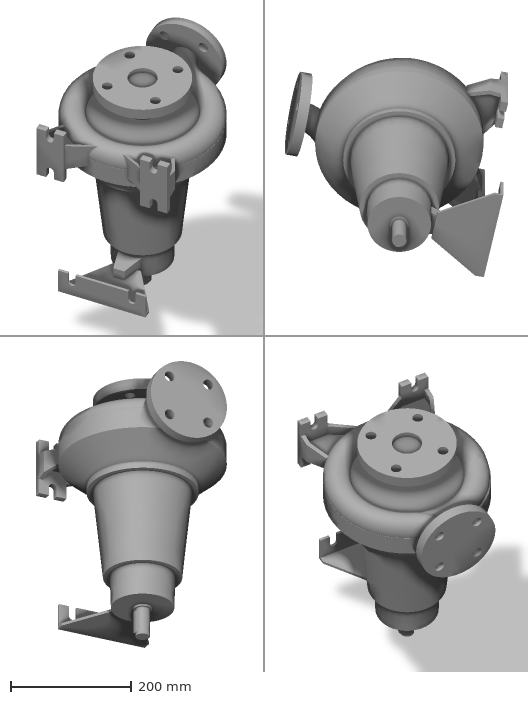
import cadquery as cq
import math


TOTAL_HEIGHT = 440.0
VOLUTE_Z = 360.0
COVER_APEX_Z = 375.8
COVER_RIM_Z = 364.5
CASING_TOP_Z = 355.5
CASING_BOTTOM_Z = 320.0
COLLAR_TOP_Z = 280.0
COLLAR_BOTTOM_Z = 268.0
FRAME_BOTTOM_Z = 110.0
HOUSING_BOTTOM_Z = 53.5
SHOULDER_BOTTOM_Z = 50.0

CASING_RADIUS = 140.0
COLLAR_RADIUS = 93.5
FRAME_TOP_RADIUS = 82.5
FRAME_BOTTOM_RADIUS = 66.0
HOUSING_TOP_RADIUS = 54.5
HOUSING_BOTTOM_RADIUS = 53.0
SHOULDER_RADIUS = 15.5
SHAFT_RADIUS = 12.0
NECK_RADIUS = 32.5

TUBE_RADIUS = 23.5
VOLUTE_RADIUS = CASING_RADIUS - TUBE_RADIUS
TONGUE_TUBE_RADIUS = 19.5
TONGUE_SECTIONS = 5
DISCHARGE_FACE_Y = 180.0

SUCTION_FLANGE_RADIUS = 82.5
SUCTION_FLANGE_THICKNESS = 20.0
SUCTION_BOLT_CIRCLE_RADIUS = 62.5
SUCTION_BORE_RADIUS = 25.0
SUCTION_BORE_DEPTH = 10.0
DISCHARGE_FLANGE_RADIUS = 70.0
DISCHARGE_FLANGE_THICKNESS = 18.0
DISCHARGE_BOLT_CIRCLE_RADIUS = 50.0
BOLT_HOLE_DIAMETER = 18.0
BOLT_COUNT = 4

MOUNTING_FACE_Y = -160.0
SLOT_WIDTH = 14.0
FOOT_HEIGHT = 100.0
FOOT_INNER_X = 70.0
FOOT_OUTER_X = 120.0
FOOT_THICKNESS = 12.0
FOOT_SLOT_DEPTH = 22.0
RIB_THICKNESS = 7.5
OUTER_RIB_BEND_Y = -130.0
OUTER_RIB_TIP = (103.5, -93.0)
INNER_RIB_TIP_X = 32.0
INNER_RIB_TIP_Y = -127.0
INNER_RIB_TIP_WIDTH = 10.0
INNER_RIB_OVERLAP = 7.0
RIB_FACE_HALF_HEIGHT = 26.0
RIB_TAPER = 0.2
WEB_THICKNESS = 7.5

BRACKET_BOTTOM_Z = 70.0
BRACKET_HEIGHT = 45.0
BRACKET_WIDTH = 160.0
BRACKET_SHEET = 5.0
BRACKET_SLOT_X = 55.0
BRACKET_SLOT_DEPTH = 24.0
SHELF_REAR_Y = -60.0
SHELF_REAR_WIDTH = 50.0
SHELF_BEND_Y = -145.0
BLOCK_HEIGHT = 19.5
BLOCK_FRONT_Y = -93.5
BLOCK_FRONT_WIDTH = 20.2
BLOCK_REAR_Y = -40.0
BLOCK_REAR_WIDTH = 48.0

KEY_WIDTH = 8.0
KEY_BOTTOM_Z = 4.0
KEY_TOP_Z = 45.8
KEY_OUTER_X = 15.0


def turned_body():
    """Shaft, bearing housing, frame, casing, cover and suction neck as one revolved profile."""
    profile = [
        (0, 0),
        (SHAFT_RADIUS, 0),
        (SHAFT_RADIUS, SHOULDER_BOTTOM_Z),
        (SHOULDER_RADIUS, SHOULDER_BOTTOM_Z),
        (SHOULDER_RADIUS, HOUSING_BOTTOM_Z),
        (HOUSING_BOTTOM_RADIUS, HOUSING_BOTTOM_Z),
        (HOUSING_TOP_RADIUS, FRAME_BOTTOM_Z),
        (FRAME_BOTTOM_RADIUS, FRAME_BOTTOM_Z),
        (FRAME_TOP_RADIUS, COLLAR_BOTTOM_Z),
        (COLLAR_RADIUS, COLLAR_BOTTOM_Z),
        (COLLAR_RADIUS, COLLAR_TOP_Z),
        (CASING_RADIUS, CASING_BOTTOM_Z),
        (CASING_RADIUS, CASING_TOP_Z),
        (VOLUTE_RADIUS - TUBE_RADIUS / 2, CASING_TOP_Z),
        (VOLUTE_RADIUS - TUBE_RADIUS / 2, COVER_RIM_Z),
        (NECK_RADIUS, COVER_APEX_Z),
        (NECK_RADIUS, TOTAL_HEIGHT),
        (0, TOTAL_HEIGHT),
    ]
    return cq.Workplane("XZ").polyline(profile).close().revolve(360, (0, 0), (0, 1))


BEND_RADIUS = (DISCHARGE_FACE_Y**2 - VOLUTE_RADIUS**2) / (2 * VOLUTE_RADIUS)
BEND_ANGLE = math.atan2(DISCHARGE_FACE_Y, BEND_RADIUS)


def volute_tube():
    """Round tube around the casing, from -X through -Y and +X, then bending out to the discharge."""
    mid_angle = (BEND_ANGLE - math.pi) / 2
    mid_point = (VOLUTE_RADIUS * math.cos(mid_angle), VOLUTE_RADIUS * math.sin(mid_angle))
    bend_start = (VOLUTE_RADIUS * math.cos(BEND_ANGLE), VOLUTE_RADIUS * math.sin(BEND_ANGLE))
    path = (
        cq.Workplane("XY", origin=(0, 0, VOLUTE_Z))
        .moveTo(-VOLUTE_RADIUS, 0)
        .threePointArc(mid_point, bend_start)
        .tangentArcPoint((0, DISCHARGE_FACE_Y), relative=False)
    )
    section = cq.Workplane("XZ", origin=(-VOLUTE_RADIUS, 0, VOLUTE_Z)).circle(TUBE_RADIUS)
    return section.sweep(path)


def volute_tongue():
    """Start of the volute: the tube shrinks from -X towards the discharge, its inner side on one circle."""
    sections = []
    for i in range(TONGUE_SECTIONS):
        fraction = i / (TONGUE_SECTIONS - 1)
        angle = math.pi + fraction * (BEND_ANGLE - math.pi)
        radius = TUBE_RADIUS + fraction * (TONGUE_TUBE_RADIUS - TUBE_RADIUS)
        reach = VOLUTE_RADIUS - TUBE_RADIUS + radius
        center = cq.Vector(reach * math.cos(angle), reach * math.sin(angle), VOLUTE_Z)
        tangent = cq.Vector(math.sin(angle), -math.cos(angle), 0)
        sections.append(cq.Wire.makeCircle(radius, center, tangent))
    return cq.Workplane(cq.Solid.makeLoft(sections))


def flange(face, radius, thickness, bolt_circle_radius):
    """Flange disc behind the given face, with bolt holes midway between its main axes."""
    return (
        cq.Workplane(face)
        .circle(radius)
        .extrude(-thickness)
        .copyWorkplane(cq.Workplane(face))
        .polarArray(bolt_circle_radius, 180 / BOLT_COUNT, 360, BOLT_COUNT)
        .hole(BOLT_HOLE_DIAMETER, thickness)
    )


def edge_slot(x, edge_z, depth, plate_thickness, direction):
    """Slot cutter with a round end, open at the plate edge; direction is the way it runs in Z."""
    straight = depth - SLOT_WIDTH / 2
    half = SLOT_WIDTH / 2
    return (
        cq.Workplane("XZ", origin=(x, MOUNTING_FACE_Y, edge_z))
        .moveTo(-half, 0)
        .lineTo(-half, direction * straight)
        .threePointArc((0, direction * depth), (half, direction * straight))
        .lineTo(half, 0)
        .close()
        .extrude(-plate_thickness)
    )


def volute_level_slab(outline, height):
    """Slab with the given plan outline, centred in height on the volute."""
    return cq.Workplane("XY", origin=(0, 0, VOLUTE_Z)).polyline(outline).close().extrude(height / 2, both=True)


def foot():
    """Foot on the +X side: slotted plate, two ribs tapering to the casing and a flat web between."""
    back_y = MOUNTING_FACE_Y + FOOT_THICKNESS
    center_x = (FOOT_INNER_X + FOOT_OUTER_X) / 2
    plate = (
        cq.Workplane("XY", origin=(center_x, MOUNTING_FACE_Y + FOOT_THICKNESS / 2, VOLUTE_Z))
        .box(FOOT_OUTER_X - FOOT_INNER_X, FOOT_THICKNESS, FOOT_HEIGHT)
    )
    for direction in (1, -1):
        edge_z = VOLUTE_Z - direction * FOOT_HEIGHT / 2
        plate = plate.cut(edge_slot(center_x, edge_z, FOOT_SLOT_DEPTH, FOOT_THICKNESS, direction))

    tip_x, tip_y = OUTER_RIB_TIP
    outer_rib = [
        (FOOT_OUTER_X, back_y),
        (FOOT_OUTER_X, OUTER_RIB_BEND_Y),
        (tip_x, tip_y),
        (tip_x - RIB_THICKNESS, tip_y),
        (FOOT_OUTER_X - RIB_THICKNESS, OUTER_RIB_BEND_Y),
        (FOOT_OUTER_X - RIB_THICKNESS, back_y),
    ]
    inner_rib = [
        (FOOT_INNER_X, back_y),
        (INNER_RIB_TIP_X, INNER_RIB_TIP_Y),
        (INNER_RIB_TIP_X - INNER_RIB_TIP_WIDTH, INNER_RIB_TIP_Y),
        (FOOT_INNER_X, back_y - INNER_RIB_OVERLAP),
    ]
    tip_half_height = RIB_FACE_HALF_HEIGHT - RIB_TAPER * (tip_y - MOUNTING_FACE_Y)
    taper_outline = [
        (MOUNTING_FACE_Y, -RIB_FACE_HALF_HEIGHT),
        (tip_y, -tip_half_height),
        (tip_y, tip_half_height),
        (MOUNTING_FACE_Y, RIB_FACE_HALF_HEIGHT),
    ]
    taper = cq.Workplane("YZ", origin=(0, 0, VOLUTE_Z)).polyline(taper_outline).close().extrude(FOOT_OUTER_X)
    for outline in (outer_rib, inner_rib):
        rib = volute_level_slab(outline, 2 * RIB_FACE_HALF_HEIGHT)
        plate = plate.union(rib.intersect(taper))

    web_outline = [
        (FOOT_INNER_X, back_y),
        (INNER_RIB_TIP_X, INNER_RIB_TIP_Y),
        (tip_x - RIB_THICKNESS, tip_y),
        (FOOT_OUTER_X - RIB_THICKNESS, OUTER_RIB_BEND_Y),
        (FOOT_OUTER_X - RIB_THICKNESS, back_y),
    ]
    return plate.union(volute_level_slab(web_outline, WEB_THICKNESS))


def symmetric_slab(half_outline, bottom_z, height):
    """Slab whose plan outline is given on the +X side and mirrored about the YZ plane."""
    mirrored = [(-x, y) for x, y in reversed(half_outline)]
    return cq.Workplane("XY", origin=(0, 0, bottom_z)).polyline(half_outline + mirrored).close().extrude(height)


def support_bracket():
    """Angle bracket with a tapering shelf, carried by a block on the bearing housing."""
    half_width = BRACKET_WIDTH / 2
    shelf_outline = [
        (SHELF_REAR_WIDTH / 2, SHELF_REAR_Y),
        (half_width, SHELF_BEND_Y),
        (half_width, MOUNTING_FACE_Y),
    ]
    shelf = symmetric_slab(shelf_outline, BRACKET_BOTTOM_Z, BRACKET_SHEET)

    block_outline = [(BLOCK_REAR_WIDTH / 2, BLOCK_REAR_Y), (BLOCK_FRONT_WIDTH / 2, BLOCK_FRONT_Y)]
    block = symmetric_slab(block_outline, BRACKET_BOTTOM_Z + BRACKET_SHEET, BLOCK_HEIGHT)

    upright_outline = [(half_width, MOUNTING_FACE_Y), (half_width, MOUNTING_FACE_Y + BRACKET_SHEET)]
    upright = symmetric_slab(upright_outline, BRACKET_BOTTOM_Z, BRACKET_HEIGHT)
    for x in (-BRACKET_SLOT_X, BRACKET_SLOT_X):
        top_z = BRACKET_BOTTOM_Z + BRACKET_HEIGHT
        upright = upright.cut(edge_slot(x, top_z, BRACKET_SLOT_DEPTH, BRACKET_SHEET, -1))
    return shelf.union(upright).union(block)


def shaft_key():
    """Round-ended key on the +X side of the shaft."""
    return (
        cq.Workplane("YZ", origin=(0, 0, (KEY_BOTTOM_Z + KEY_TOP_Z) / 2))
        .slot2D(KEY_TOP_Z - KEY_BOTTOM_Z, KEY_WIDTH, 90)
        .extrude(KEY_OUTER_X)
    )


suction_face = cq.Plane(origin=(0, 0, TOTAL_HEIGHT), xDir=(1, 0, 0), normal=(0, 0, 1))
discharge_face = cq.Plane(origin=(0, DISCHARGE_FACE_Y, VOLUTE_Z), xDir=(1, 0, 0), normal=(0, 1, 0))

suction_flange = flange(
    suction_face,
    SUCTION_FLANGE_RADIUS,
    SUCTION_FLANGE_THICKNESS,
    SUCTION_BOLT_CIRCLE_RADIUS,
)
discharge_flange = flange(
    discharge_face,
    DISCHARGE_FLANGE_RADIUS,
    DISCHARGE_FLANGE_THICKNESS,
    DISCHARGE_BOLT_CIRCLE_RADIUS,
)
suction_bore = cq.Workplane(suction_face).circle(SUCTION_BORE_RADIUS).extrude(-SUCTION_BORE_DEPTH)
right_foot = foot()

result = (
    turned_body()
    .union(volute_tube())
    .union(volute_tongue())
    .union(suction_flange)
    .union(discharge_flange)
    .union(right_foot)
    .union(right_foot.mirror("YZ"))
    .union(support_bracket())
    .union(shaft_key())
    .cut(suction_bore)
)